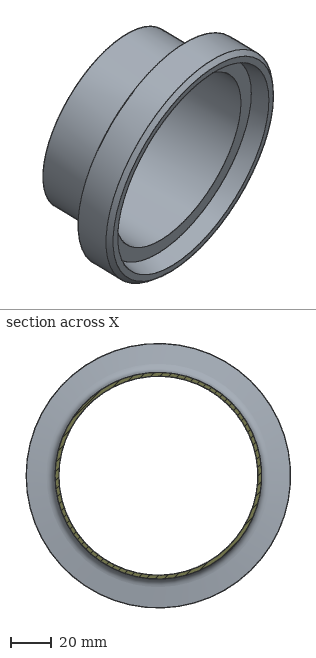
import cadquery as cq
import math

length = 54.0
flange_diameter = 130
tube_diameter = 101.7
bore_diameter = 97.6
neck_start = 27.3
rim_start = 33.8
neck_end_diameter = 109.7
flange_slope = 10
neck_slope = 15
rim_chamfer = 2.5
socket_diameter = 113.8
mouth_diameter = 117.8
socket_depth = 9.5

flange_radius = flange_diameter / 2
tube_radius = tube_diameter / 2
bore_radius = bore_diameter / 2
socket_radius = socket_diameter / 2
mouth_radius = mouth_diameter / 2
neck_end_radius = neck_end_diameter / 2
neck_end = rim_start - (flange_radius - neck_end_radius) * math.tan(math.radians(flange_slope))

slope = math.radians(flange_slope)
neck_end_direction = (math.sin(slope), math.cos(slope))
neck_angle = math.radians(neck_slope)
neck_start_direction = (math.cos(neck_angle), math.sin(neck_angle))

section = (
    cq.Workplane("XY")
    .moveTo(0, bore_radius)
    .lineTo(0, tube_radius)
    .lineTo(neck_start, tube_radius)
    .spline([(neck_end, neck_end_radius)], includeCurrent=True,
            tangents=[neck_start_direction, neck_end_direction])
    .lineTo(rim_start, flange_radius)
    .lineTo(length - rim_chamfer, flange_radius)
    .lineTo(length, flange_radius - rim_chamfer)
    .lineTo(length, mouth_radius)
    .lineTo(length - socket_depth, socket_radius)
    .lineTo(length - socket_depth, bore_radius)
    .close()
)

result = section.revolve(360, (0, 0, 0), (1, 0, 0))